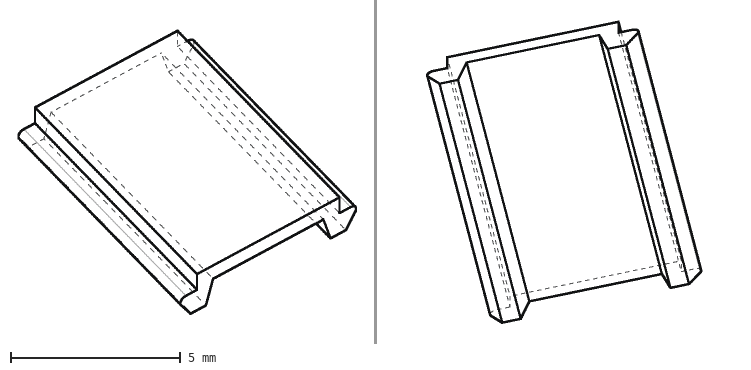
import cadquery as cq
import math

length = 8.15
width = 6.4
height = 1.6

plate_width = 5.18
plate_thickness = 0.595

ledge_height = 0.905
nose_radius = 0.2
flank_angle = math.radians(30)

channel_top_width = 4.01
channel_bottom_width = 4.53
channel_height = height - plate_thickness

nose_y = width / 2 - nose_radius
nose_z = ledge_height - nose_radius
flank_top_y = nose_y + nose_radius * math.cos(flank_angle)
flank_top_z = nose_z - nose_radius * math.sin(flank_angle)
foot_y = flank_top_y - flank_top_z * math.tan(flank_angle)


def half_section():
    """Cross-section of the +Y half, extruded along X."""
    return (
        cq.Workplane("YZ", origin=(-length / 2, 0, 0))
        .moveTo(0, height)
        .lineTo(plate_width / 2, height)
        .lineTo(plate_width / 2, ledge_height)
        .lineTo(nose_y, ledge_height)
        .threePointArc((width / 2, nose_z), (flank_top_y, flank_top_z))
        .lineTo(foot_y, 0)
        .lineTo(channel_bottom_width / 2, 0)
        .lineTo(channel_top_width / 2, channel_height)
        .lineTo(0, channel_height)
        .close()
        .extrude(length)
    )


half = half_section()
result = half.union(half.mirror("XZ")).clean()